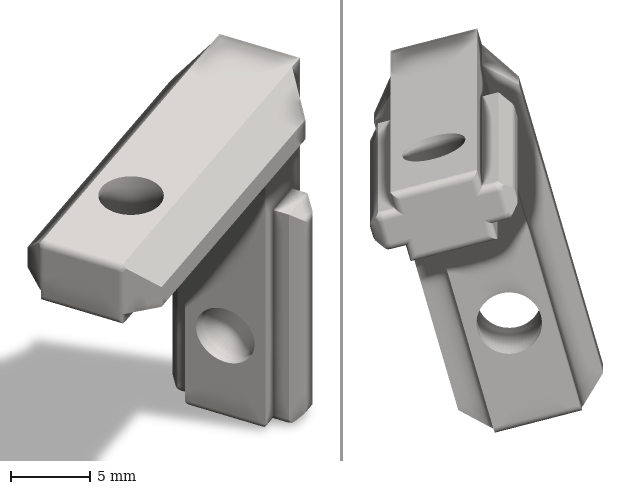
import cadquery as cq

height = 26.0
depth = 25.0
wing_span = 9.5

body_width = 5.7
leg_thickness = 4.8
arm_thickness = 4.7
inner_radius = 3.0
edge_radius = 0.5

wing_reach = (wing_span - body_width) / 2
back_setback = 1.1
arm_wing_height = 3.8
arm_wing_drop = 2.25
leg_wing_width = 2.6
leg_wing_height = 16.5
leg_wing_chamfer = 0.8

hole_diameter = 4.13
leg_hole_height = 6.5
arm_hole_from_tip = 7.02

arm_bottom = height - arm_thickness
arm_wing_bottom = height - arm_wing_height
wing_back = depth - back_setback
leg_front = depth - leg_thickness
leg_wing_front = wing_back - leg_wing_width


def make_arm():
    """Arm with bevelled wings, its tip rounded before the wings are undercut."""
    bar = cq.Workplane("XY").box(body_width, depth, arm_thickness, centered=(True, False, False))
    bar = bar.translate((0, 0, arm_bottom))

    wing_plan = (
        cq.Workplane("XY", origin=(0, 0, arm_bottom))
        .moveTo(-body_width / 2, 0)
        .lineTo(body_width / 2, 0)
        .lineTo(wing_span / 2, wing_reach)
        .lineTo(wing_span / 2, wing_back - wing_reach)
        .lineTo(body_width / 2, wing_back)
        .lineTo(-body_width / 2, wing_back)
        .lineTo(-wing_span / 2, wing_back - wing_reach)
        .lineTo(-wing_span / 2, wing_reach)
        .close()
        .extrude(arm_thickness)
    )
    wing_section = (
        cq.Workplane("XZ")
        .moveTo(-wing_span / 2, arm_bottom)
        .lineTo(wing_span / 2, arm_bottom)
        .lineTo(wing_span / 2, height - arm_wing_drop)
        .lineTo(body_width / 2, height)
        .lineTo(-body_width / 2, height)
        .lineTo(-wing_span / 2, height - arm_wing_drop)
        .close()
        .extrude(-depth)
    )
    arm = bar.union(wing_plan.intersect(wing_section))
    arm = arm.faces("<Y").edges().fillet(edge_radius)

    for side in (-1, 1):
        undercut = (
            cq.Workplane("XY")
            .box(wing_reach, depth, arm_wing_bottom - arm_bottom, centered=(True, False, False))
            .translate((side * (body_width + wing_reach) / 2, 0, arm_bottom))
        )
        arm = arm.cut(undercut)
    return arm


def make_leg_wing(side):
    """Wing with a chamfered and softened outer face; side is -1 or 1."""
    wing = (
        cq.Workplane("XY")
        .box(wing_span / 2, leg_wing_width, leg_wing_height, centered=(True, False, False))
        .translate((side * wing_span / 4, leg_wing_front, 0))
    )
    outer_face = ">X" if side > 0 else "<X"
    wing = wing.faces(outer_face).chamfer(leg_wing_chamfer)
    return wing.faces(outer_face).edges().fillet(edge_radius)


def make_leg():
    """Upright leg with its wings and a rounded foot."""
    leg = (
        cq.Workplane("XY")
        .box(body_width, leg_thickness, height, centered=(True, False, False))
        .translate((0, leg_front, 0))
    )
    for side in (-1, 1):
        leg = leg.union(make_leg_wing(side))
    return leg.faces("<Z").edges().fillet(edge_radius)


def make_corner_fillet():
    """Concave web in the inner corner between the leg and the arm."""
    return (
        cq.Workplane("YZ")
        .moveTo(leg_front, arm_bottom)
        .lineTo(leg_front - inner_radius, arm_bottom)
        .radiusArc((leg_front, arm_bottom - inner_radius), inner_radius)
        .close()
        .extrude(body_width / 2, both=True)
    )


bracket = make_leg().union(make_arm()).union(make_corner_fillet())

leg_hole = (
    cq.Workplane("XZ", origin=(0, leg_front, leg_hole_height))
    .circle(hole_diameter / 2)
    .extrude(-leg_thickness)
)
arm_hole = (
    cq.Workplane("XY", origin=(0, arm_hole_from_tip, arm_bottom))
    .circle(hole_diameter / 2)
    .extrude(arm_thickness)
)

result = bracket.cut(leg_hole).cut(arm_hole)